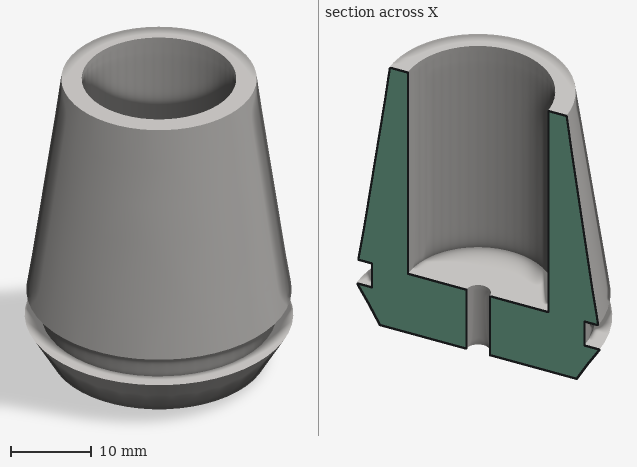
import cadquery as cq
import math

total_height = 40.0
flange_height = 5.5
groove_height = 3.6
taper_start = flange_height + groove_height
taper_height = total_height - taper_start

flange_diameter = 33.35
flange_angle = 30.0
groove_diameter = 29.2
top_diameter = 24.3
taper_angle = 8.0

bore_diameter = 19.2
bore_depth = taper_height
through_hole_diameter = 3.2

flange_radius = flange_diameter / 2
base_radius = flange_radius - flange_height * math.tan(math.radians(flange_angle))
groove_radius = groove_diameter / 2
top_radius = top_diameter / 2
taper_base_radius = top_radius + taper_height * math.tan(math.radians(taper_angle))


def make_body():
    """Revolve the flange, neck groove and long taper about Z."""
    half_profile = [
        (0, 0),
        (base_radius, 0),
        (flange_radius, flange_height),
        (groove_radius, flange_height),
        (groove_radius, taper_start),
        (taper_base_radius, taper_start),
        (top_radius, total_height),
        (0, total_height),
    ]
    profile = cq.Workplane("XZ").polyline(half_profile).close()
    return profile.revolve(360, (0, 0, 0), (0, 1, 0))


def cut_stepped_hole(body):
    """Cut the flat-bottomed bore and the small through hole from the top."""
    return body.faces(">Z").workplane().cboreHole(through_hole_diameter, bore_diameter, bore_depth)


result = cut_stepped_hole(make_body())